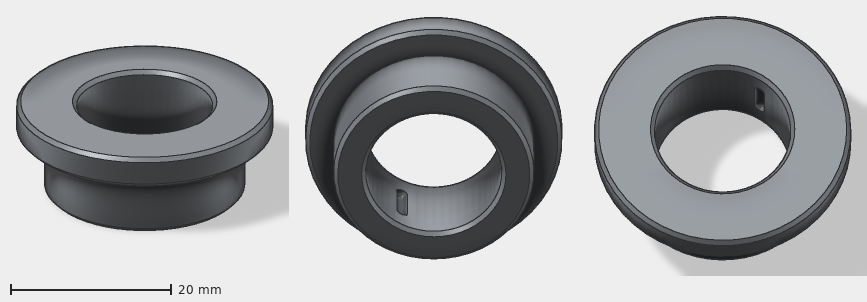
import cadquery as cq

flange_diameter = 32.0
body_diameter = 25.0
bore_diameter = 17.0
total_height = 12.0
flange_thickness = 4.0
edge_chamfer = 0.5

groove_width = 1.5
groove_length = 6.0
groove_depth = 1.0


def make_bush():
    """Body with a flange on top, chamfered on its outer edges and at both bore mouths."""
    body = (
        cq.Workplane("XY")
        .circle(body_diameter / 2)
        .extrude(total_height)
        .faces("<Z")
        .chamfer(edge_chamfer)
    )
    flange = (
        cq.Workplane("XY", origin=(0, 0, total_height - flange_thickness))
        .circle(flange_diameter / 2)
        .extrude(flange_thickness)
        .edges()
        .chamfer(edge_chamfer)
    )
    bore_radius = bore_diameter / 2
    mouth_radius = bore_radius + edge_chamfer
    bore_profile = [
        (0, 0),
        (mouth_radius, 0),
        (bore_radius, edge_chamfer),
        (bore_radius, total_height - edge_chamfer),
        (mouth_radius, total_height),
        (0, total_height),
    ]
    bore = cq.Workplane("XZ").polyline(bore_profile).close().revolve(360, (0, 0), (0, 1))
    return body.union(flange).cut(bore)


def make_groove_cutter():
    """Slot along Z, sunk radially outward from inside the bore and closed by a ball-nosed floor."""
    nose_radius = groove_width / 2
    nose_x = bore_diameter / 2 + groove_depth - nose_radius
    middle_z = total_height / 2
    straight_length = groove_length - groove_width
    slot = (
        cq.Workplane("YZ", origin=(0, 0, middle_z))
        .slot2D(groove_length, groove_width, 90)
        .extrude(nose_x)
    )
    floor = (
        cq.Workplane("XY", origin=(nose_x, 0, middle_z - straight_length / 2))
        .circle(nose_radius)
        .extrude(straight_length)
    )
    cutter = slot.union(floor)
    for side in (-1, 1):
        end_z = middle_z + side * straight_length / 2
        ball = cq.Workplane("XY", origin=(nose_x, 0, end_z)).sphere(nose_radius)
        cutter = cutter.union(ball)
    return cutter


result = make_bush().cut(make_groove_cutter())